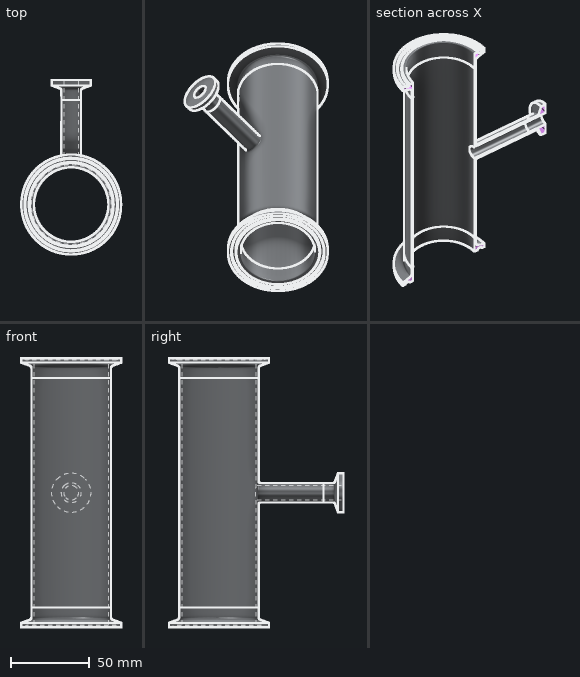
import cadquery as cq
import math

total_height = 171.4
branch_reach = 79.4
ferrule_length = 12.7
tube_radius = 25.4
branch_radius = 6.3
wall = 1.7
branch_fillet = 0.9
cone_angle = 20.0

main_flange_radius = 31.9
main_rim_thickness = 2.9
main_neck_fillet = 1.5
mouth_fillet = 0.9

branch_flange_radius = 12.5
branch_rim_thickness = 3.6
branch_neck_fillet = 0.9

groove_center_radius = 28.1
groove_half_width = 1.7
groove_floor_half_width = 1.0
groove_side_depth = 1.0
groove_depth = 1.4

tube_length = total_height - 2 * ferrule_length
branch_tube_end = branch_reach - ferrule_length
bore_radius = tube_radius - wall
branch_bore_radius = branch_radius - wall


def along_y(radius, length):
    """Cylinder from the main axis out along +Y."""
    return cq.Workplane("XZ").circle(radius).extrude(-length)


def make_tee():
    """Main tube with its branch tube, bored through into each other."""
    tube = cq.Workplane("XY").circle(tube_radius).extrude(tube_length / 2, both=True)
    tee = tube.union(along_y(branch_radius, branch_tube_end))
    saddle = cq.selectors.BoxSelector(
        (-tube_radius / 2, tube_radius / 2, -tube_radius / 2),
        (tube_radius / 2, tube_radius + wall, tube_radius / 2),
    )
    tee = tee.edges(saddle).fillet(branch_fillet)
    main_bore = cq.Workplane("XY").circle(bore_radius).extrude(tube_length / 2, both=True)
    return tee.cut(main_bore).cut(along_y(branch_bore_radius, branch_tube_end))


def make_ferrule(neck_radius, flange_radius, rim_thickness, neck_fillet):
    """Clamp ferrule with its sealing face on Z = 0 and its neck towards +Z."""
    cone_height = (flange_radius - neck_radius) * math.tan(math.radians(cone_angle))
    cone_top = rim_thickness + cone_height
    inner_radius = neck_radius - wall
    ferrule = (
        cq.Workplane("XZ")
        .moveTo(inner_radius, 0)
        .lineTo(flange_radius, 0)
        .lineTo(flange_radius, rim_thickness)
        .lineTo(neck_radius, cone_top)
        .lineTo(neck_radius, ferrule_length)
        .lineTo(inner_radius, ferrule_length)
        .close()
        .revolve(360, (0, 0), (0, 1))
    )
    neck_corner = cq.selectors.BoxSelector(
        (-flange_radius, -flange_radius, rim_thickness + cone_height / 2),
        (flange_radius, flange_radius, (cone_top + ferrule_length) / 2),
    )
    return ferrule.edges("%CIRCLE").edges(neck_corner).fillet(neck_fillet)


def make_groove():
    """Ring cutter for the gasket groove: sloping sides and a rounded floor."""
    return (
        cq.Workplane("XZ")
        .moveTo(groove_center_radius - groove_half_width, 0)
        .lineTo(groove_center_radius - groove_floor_half_width, groove_side_depth)
        .threePointArc(
            (groove_center_radius, groove_depth),
            (groove_center_radius + groove_floor_half_width, groove_side_depth),
        )
        .lineTo(groove_center_radius + groove_half_width, 0)
        .close()
        .revolve(360, (0, 0), (0, 1))
    )


def make_main_ferrule():
    """Ferrule for the main tube, with a rounded mouth and a gasket groove."""
    ferrule = make_ferrule(tube_radius, main_flange_radius, main_rim_thickness, main_neck_fillet)
    mouth = cq.selectors.RadiusNthSelector(0)
    ferrule = ferrule.faces("<Z").edges(mouth).fillet(mouth_fillet)
    return ferrule.cut(make_groove())


def make_branch_ferrule():
    """Small plain-faced ferrule on the end of the branch."""
    ferrule = make_ferrule(
        branch_radius, branch_flange_radius, branch_rim_thickness, branch_neck_fillet
    )
    return ferrule.rotate((0, 0, 0), (1, 0, 0), 90).translate((0, branch_reach, 0))


tee = make_tee()
branch_ferrule = make_branch_ferrule()

main_ferrules = []
for turn in (0, 180):
    ferrule = make_main_ferrule().translate((0, 0, -total_height / 2))
    main_ferrules.append(ferrule.rotate((0, 0, 0), (1, 0, 0), turn).val())

result = cq.Compound.makeCompound([tee.val(), branch_ferrule.val(), *main_ferrules])